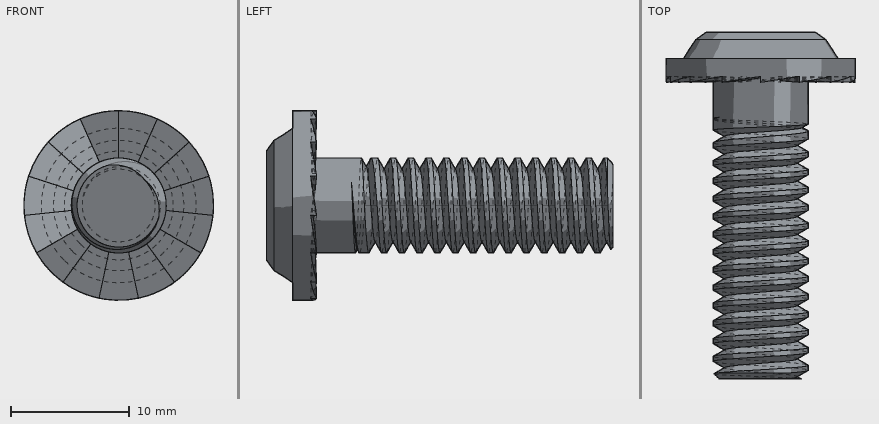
import cadquery as cq
import math

bolt_length = 29.25
shank_radius = 8.0 / 2
tip_chamfer = 0.5

flange_radius = 16.0 / 2
flange_thickness = 2.02
dome_height = 2.22
dome_base_radius = 6.52
dome_break_radius = 5.5
dome_top_radius = 4.6
dome_top_cone_height = 0.65
flange_top = bolt_length - dome_height
flange_bottom = flange_top - flange_thickness

tooth_count = 15
tooth_depth = 0.5

thread_pitch = 1.5
groove_depth = 0.95
groove_half_angle = 30.0
first_groove_height = 0.95
full_depth_turns = 14
fade_turns = 1.08
groove_margin = 0.3


def make_head():
    outline = [
        (0, flange_bottom),
        (flange_radius, flange_bottom),
        (flange_radius, flange_top),
        (dome_base_radius, flange_top),
        (dome_break_radius, bolt_length - dome_top_cone_height),
        (dome_top_radius, bolt_length),
        (0, bolt_length),
    ]
    profile = cq.Workplane("XZ").polyline(outline).close()
    return profile.revolve(360, (0, 0, 0), (0, 1, 0))


def make_tooth_cutter():
    """Wedge under one sloping tooth face; its sides run radially from a point on the axis."""
    overreach = 1.2
    reach = flange_radius * overreach
    rise = tooth_depth / 2 * overreach
    middle = flange_bottom + tooth_depth / 2
    tooth_angle = 2 * math.pi / tooth_count
    axis_point = cq.Vector(0, 0, middle)
    crest = cq.Vector(reach, 0, middle - rise)
    root = cq.Vector(reach * math.cos(tooth_angle), reach * math.sin(tooth_angle), middle + rise)
    face = cq.Face.makeFromWires(cq.Wire.makePolygon([axis_point, crest, root], close=True))
    return cq.Solid.extrudeLinear(face, cq.Vector(0, 0, -2 * tooth_depth))


def cut_teeth(head):
    first_tooth_angle = -90
    cutter = make_tooth_cutter()
    for index in range(tooth_count):
        angle = first_tooth_angle + index * 360 / tooth_count
        head = head.cut(cq.Workplane(cutter.rotate((0, 0, 0), (0, 0, 1), angle)))
    return head


def make_groove(start_height, turns, radial_growth):
    """V-section helical cutter starting on the -X side, moving outward by radial_growth."""
    rise = thread_pitch * turns
    cone_angle = math.atan2(radial_growth, rise)
    slant = 1 / math.cos(cone_angle)
    root_radius = shank_radius - groove_depth
    cutter_depth = groove_depth + groove_margin
    half_width = cutter_depth * math.tan(math.radians(groove_half_angle))

    def helix(radius, offset):
        center = cq.Vector(0, 0, start_height + offset)
        if radial_growth == 0:
            return cq.Wire.makeHelix(thread_pitch, rise, radius, center)
        return cq.Wire.makeHelix(
            thread_pitch * slant,
            rise * slant,
            radius,
            center,
            angle=math.degrees(cone_angle),
        )

    edges = [
        helix(root_radius, 0),
        helix(root_radius + cutter_depth, half_width),
        helix(root_radius + cutter_depth, -half_width),
    ]
    faces = []
    for index, edge in enumerate(edges):
        faces.append(cq.Face.makeRuledSurface(edge, edges[index - 1]))
    for end in (0, 1):
        corners = [edge.positionAt(end) for edge in edges]
        faces.append(cq.Face.makeFromWires(cq.Wire.makePolygon(corners, close=True)))
    solid = cq.Solid.makeSolid(cq.Shell.makeShell(faces))
    return solid.fix().rotate((0, 0, 0), (0, 0, 1), 180)


def make_shank():
    shank = cq.Workplane("XY").circle(shank_radius).extrude(flange_top)
    return shank.faces("<Z").chamfer(tip_chamfer)


def cut_thread(shank):
    height = first_groove_height - thread_pitch
    for _ in range(full_depth_turns):
        shank = shank.cut(cq.Workplane(make_groove(height, 1, 0)))
        height += thread_pitch
    return shank.cut(cq.Workplane(make_groove(height, fade_turns, groove_depth)))


bolt = cut_teeth(make_head()).union(cut_thread(make_shank()))

result = bolt.rotate((0, 0, 0), (1, 0, 0), -90)